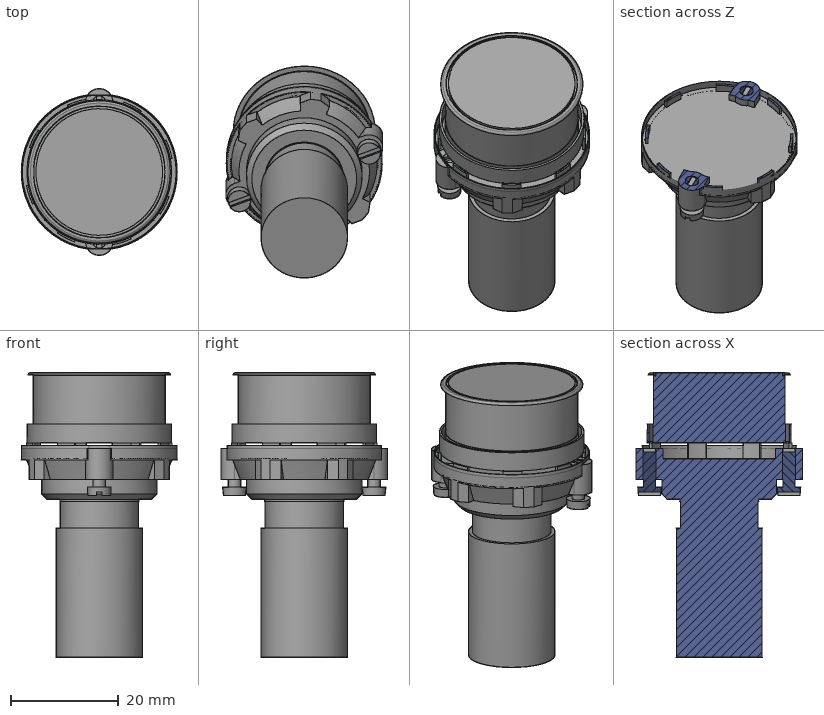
import cadquery as cq
import math

TOTAL_HEIGHT = 52.9

TUBE_RADIUS = 8.05
TUBE_TOP = 24.0
NECK_RADIUS = 7.3
SHOULDER_RADIUS = 7.35
SHOULDER_BOTTOM = 29.0

BASE_RADIUS = 10.75
BASE_BOTTOM = 29.35
BASE_CHAMFER = 1.0

CONE_BOTTOM = 33.0
CONE_BOTTOM_RADIUS = 12.1
CONE_TOP_RADIUS = 13.55

FLANGE_RADIUS = 14.5
FLANGE_BOTTOM = 36.75
FLANGE_BAND_BOTTOM = 38.85
FLANGE_TOP = 39.4
FLANGE_BAND_TAPER = 0.05

RECESS_RADIUS = 14.3
RECESS_FLOOR = 36.95

HEXAGON_SIDES = 6
POST_ANGLES = (30, 150, 210, 330)
POST_HALF_ANGLE = 11.5
HEXAGON_APOTHEM = 13.0

BOSS_RADIUS = 2.55
BOSS_OFFSET = 12.95
BOSS_FLAT_OFFSET = 14.35

COLLAR_RADIUS = 13.45
COLLAR_INNER_RADIUS = 13.0
COLLAR_BOTTOM = 39.85
COLLAR_TOP = 43.4
COLLAR_FLOOR = 0.25
SLEEVE_RADIUS = 12.4
TAB_COUNT = 8
TAB_CENTER_ANGLE = 18.0
TAB_HALF_ANGLE = 7.5
TAB_INNER_RADIUS = 13.25
TAB_OUTER_RADIUS = 13.75

CUP_RADIUS = 24.6 / 2
LIP_RADIUS = 13.25
LIP_THICKNESS = 0.4
GROOVE_OUTER_RADIUS = 24.4 / 2
GROOVE_INNER_RADIUS = 23.55 / 2
GROOVE_DEPTH = 0.55

SCREW_RADIUS = 2.4 / 2
HEAD_TOP_RADIUS = 2.2
HEAD_BOTTOM_RADIUS = 2.1
HEAD_BOTTOM = 30.05
HEAD_TOP = 31.65
SLOT_WIDTH = 0.95
SLOT_DEPTH = 0.65


def disc(radius, bottom, top):
    """Solid cylinder on the Z axis between two heights."""
    return cq.Workplane("XY").workplane(offset=bottom).circle(radius).extrude(top - bottom)


def ring(inner_radius, outer_radius, bottom, top):
    """Annular solid on the Z axis between two heights."""
    return disc(outer_radius, bottom, top).cut(disc(inner_radius, bottom, top))


def sector(center_angle, half_angle, bottom, top):
    """Triangular wedge from the axis, reaching past the flange edge."""
    reach = 2 * FLANGE_RADIUS
    corners = [(0, 0)]
    for angle in (center_angle - half_angle, center_angle + half_angle):
        radians = math.radians(angle)
        corners.append((reach * math.cos(radians), reach * math.sin(radians)))
    return cq.Workplane("XY").workplane(offset=bottom).polyline(corners).close().extrude(top - bottom)


def make_core():
    """Turned shape of the tube, shoulder, base drum, cone and recessed flange."""
    chamfer_radius = BASE_RADIUS - BASE_CHAMFER
    profile = [
        (0, 0),
        (TUBE_RADIUS, 0),
        (TUBE_RADIUS, TUBE_TOP),
        (NECK_RADIUS, TUBE_TOP),
        (NECK_RADIUS, SHOULDER_BOTTOM),
        (SHOULDER_RADIUS, SHOULDER_BOTTOM),
        (SHOULDER_RADIUS, BASE_BOTTOM),
        (chamfer_radius, BASE_BOTTOM),
        (BASE_RADIUS, BASE_BOTTOM + BASE_CHAMFER),
        (BASE_RADIUS, CONE_BOTTOM),
        (CONE_BOTTOM_RADIUS, CONE_BOTTOM),
        (CONE_TOP_RADIUS, FLANGE_BOTTOM),
        (FLANGE_RADIUS, FLANGE_BOTTOM),
        (FLANGE_RADIUS, FLANGE_BAND_BOTTOM),
        (FLANGE_RADIUS - FLANGE_BAND_TAPER, FLANGE_TOP),
        (RECESS_RADIUS, FLANGE_TOP),
        (RECESS_RADIUS, RECESS_FLOOR),
        (0, RECESS_FLOOR),
    ]
    return cq.Workplane("XZ").polyline(profile).close().revolve(360, (0, 0, 0), (0, 1, 0))


def make_posts():
    """Wedge posts under the flange, with flats on the sides of a common hexagon."""
    height = FLANGE_BOTTOM - CONE_BOTTOM
    corner_diameter = 2 * HEXAGON_APOTHEM / math.cos(math.pi / HEXAGON_SIDES)
    hexagon = (
        cq.Workplane("XY")
        .workplane(offset=CONE_BOTTOM)
        .transformed(rotate=(0, 0, POST_ANGLES[0]))
        .polygon(HEXAGON_SIDES, corner_diameter)
        .extrude(height)
    )
    blank = hexagon.intersect(disc(FLANGE_RADIUS, CONE_BOTTOM, FLANGE_BOTTOM))
    posts = []
    for angle in POST_ANGLES:
        posts.append(blank.intersect(sector(angle, POST_HALF_ANGLE, CONE_BOTTOM, FLANGE_BOTTOM)))
    return posts


def make_boss(side):
    """Screw boss, rounded outward and straight-sided toward the axis."""
    height = FLANGE_BAND_BOTTOM - CONE_BOTTOM
    base = cq.Workplane("XY").workplane(offset=CONE_BOTTOM)
    round_end = base.center(0, side * BOSS_OFFSET).circle(BOSS_RADIUS).extrude(height)
    web_length = BOSS_OFFSET - BASE_RADIUS
    web_center = side * (BOSS_OFFSET - web_length / 2)
    web = base.center(0, web_center).rect(2 * BOSS_RADIUS, web_length).extrude(height)
    return round_end.union(web)


def cut_boss_flat(body, side):
    """Flat on the flange band above a boss."""
    depth = FLANGE_RADIUS - BOSS_FLAT_OFFSET
    flat = (
        cq.Workplane("XY")
        .workplane(offset=FLANGE_BAND_BOTTOM)
        .center(0, side * (BOSS_FLAT_OFFSET + depth / 2))
        .rect(2 * BOSS_RADIUS, depth)
        .extrude(FLANGE_TOP - FLANGE_BAND_BOTTOM)
    )
    return body.cut(flat)


def make_tabs():
    """Arc tabs that rise from the recess floor and join the flange to the collar."""
    tab_ring = ring(TAB_INNER_RADIUS, TAB_OUTER_RADIUS, RECESS_FLOOR, COLLAR_BOTTOM)
    tabs = []
    for index in range(TAB_COUNT):
        angle = TAB_CENTER_ANGLE + index * 360 / TAB_COUNT
        tabs.append(tab_ring.intersect(sector(angle, TAB_HALF_ANGLE, RECESS_FLOOR, COLLAR_BOTTOM)))
    return tabs


def make_collar():
    """Open collar with a floor that carries the central sleeve."""
    wall = ring(COLLAR_INNER_RADIUS, COLLAR_RADIUS, COLLAR_BOTTOM, COLLAR_TOP)
    floor = disc(COLLAR_RADIUS, COLLAR_BOTTOM, COLLAR_BOTTOM + COLLAR_FLOOR)
    sleeve = disc(SLEEVE_RADIUS, COLLAR_BOTTOM, COLLAR_TOP)
    return wall.union(floor).union(sleeve)


def make_cup():
    """Cup with a rounded lip and an annular groove around the window."""
    lip_bottom = TOTAL_HEIGHT - LIP_THICKNESS
    lip_flat_radius = LIP_RADIUS - LIP_THICKNESS
    arc_reach = LIP_THICKNESS * math.cos(math.pi / 4)
    cup = (
        cq.Workplane("XZ")
        .moveTo(0, COLLAR_TOP)
        .lineTo(CUP_RADIUS, COLLAR_TOP)
        .lineTo(CUP_RADIUS, lip_bottom)
        .lineTo(LIP_RADIUS, lip_bottom)
        .threePointArc((lip_flat_radius + arc_reach, lip_bottom + arc_reach), (lip_flat_radius, TOTAL_HEIGHT))
        .lineTo(0, TOTAL_HEIGHT)
        .close()
        .revolve(360, (0, 0, 0), (0, 1, 0))
    )
    groove = ring(GROOVE_INNER_RADIUS, GROOVE_OUTER_RADIUS, TOTAL_HEIGHT - GROOVE_DEPTH, TOTAL_HEIGHT)
    return cup.cut(groove)


def make_screw_hole(side):
    """Cutter for the screw hole through a boss."""
    return disc(SCREW_RADIUS, CONE_BOTTOM, FLANGE_BAND_BOTTOM).translate((0, side * BOSS_OFFSET, 0))


def make_housing():
    """Tube, flange, collar and cup as one body."""
    housing = make_core()
    for post in make_posts():
        housing = housing.union(post)
    for side in (-1, 1):
        housing = housing.union(make_boss(side))
        housing = cut_boss_flat(housing, side)
    for tab in make_tabs():
        housing = housing.union(tab)
    housing = housing.union(make_collar()).union(make_cup())
    for side in (-1, 1):
        housing = housing.cut(make_screw_hole(side))
    return housing


def make_screw(side):
    """Slotted screw, driven from below, with a slotted tip flush with the boss top."""
    profile = [
        (0, HEAD_BOTTOM),
        (HEAD_BOTTOM_RADIUS, HEAD_BOTTOM),
        (HEAD_TOP_RADIUS, HEAD_TOP),
        (SCREW_RADIUS, HEAD_TOP),
        (SCREW_RADIUS, FLANGE_BAND_BOTTOM),
        (0, FLANGE_BAND_BOTTOM),
    ]
    screw = cq.Workplane("XZ").polyline(profile).close().revolve(360, (0, 0, 0), (0, 1, 0))
    for slot_bottom in (HEAD_BOTTOM, FLANGE_BAND_BOTTOM - SLOT_DEPTH):
        slot = (
            cq.Workplane("XY")
            .workplane(offset=slot_bottom)
            .rect(SLOT_WIDTH, 2 * HEAD_TOP_RADIUS)
            .extrude(SLOT_DEPTH)
        )
        screw = screw.cut(slot)
    return screw.translate((0, side * BOSS_OFFSET, 0))


housing = make_housing()
screws = [make_screw(side) for side in (-1, 1)]

result = cq.Compound.makeCompound([housing.val(), *[screw.val() for screw in screws]])